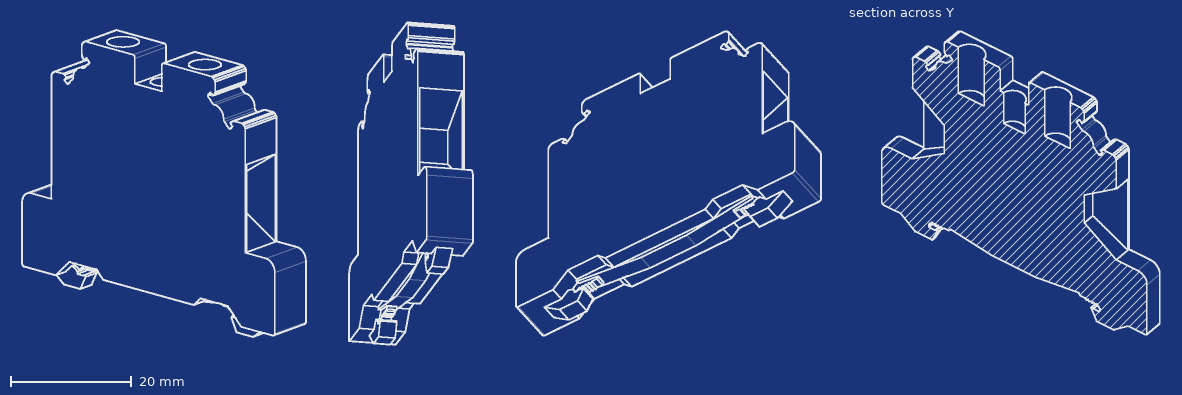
import cadquery as cq
import math


half_length = 27.75
width = 7.9
height = 42.3
base_height = 13.15
base_top_radius = 2.0
base_bottom_radius = 0.5
wall_x = 21.3
shoulder_z = 35.6
tower_x = 14.65
slot_half_width = 2.95
slot_floor_z = 37.3
slot_corner_radius = 0.5
corner_size = 0.8
corner_facet_near = 0.2 * corner_size
corner_facet_far = 0.6 * corner_size

flank_x = 15.4
flank_z = 36.35
bead_radius = 2.0
bead_sink = 1.2
bead_blend = 0.55
groove_end = 3.45
groove_chamfer = 0.1
groove_depth = 0.95
lip_start = 2.7
lip_length = 0.8
lip_facet_length = 0.35
lip_facet_drop = 0.1

rail_z = 1.5
recess_z = 2 * rail_z
recess_inner_x = 11.45
recess_outer_x = 17.35

screw_x = 9.0
screw_diameter = 5.4
screw_depth = 10.0
center_diameter = 4.5
center_depth = 6.65
pocket_margin = 0.35
pocket_taper = 0.85
pocket_depth = 6.65
pocket_top_z = 28.45
pocket_floor_z = (17.75, 23.7)

foot_width = 2.85
foot_z = -2.35
bar_end_z = 2.5
bar_middle_z = 0.65
bar_middle_x = 4.55
metal_overlap = 0.55
metal_top_z = recess_z + metal_overlap

hook_heel_x = 23.75
hook_bottom_x = (20.75, 17.15)
hook_tip_x = 16.0
hook_tip_z = 0.05
hook_barb_x = (16.2, 16.55)
hook_barb_z = 0.35
hook_floor_z = 0.15
hook_throat_x = 17.8
hook_throat_z = 0.55
hook_back_x = 19.1
hook_top_z = 1.3
hook_throat_radius = 1.5

clamp_width = 1.65
clamp_inner_x = 13.45
clamp_corner_z = 1.85
clamp_flat_x = 13.7
clamp_heel_x = 17.85
clamp_outer_x = 20.0
clamp_heel_z = 0.65
tooth_pitch = 0.6
tooth_count = 4
tooth_tip_z = 1.1
tooth_root_z = 1.45
first_tooth_x = 14.7

tab_length = 1.0
tab_x = (-16.9, -16.5)
tab_z = (34.95, 35.7)


def flank_point(along, out):
    """Point at a distance along the 45 degree flank (downward) and out from it."""
    return (
        flank_x + (out + along) / math.sqrt(2),
        flank_z + (out - along) / math.sqrt(2),
    )


def extrude_profile(outline, front_y, thickness):
    return outline.close().extrude(-thickness).translate((0, front_y, 0))


def corner_points(x, z):
    """Three-facet corner, from the vertical side up to the flat top."""
    return [
        (x, z - corner_size),
        (x - corner_facet_near, z - corner_facet_far),
        (x - corner_facet_far, z - corner_facet_near),
        (x - corner_size, z),
    ]


def add_bead(outline):
    """Follow the round bead up the flank, blended into the flank at both ends."""
    reach = bead_radius + bead_blend
    rise = bead_sink + bead_blend
    blend_along = math.sqrt(reach**2 - rise**2)
    touch_along = blend_along * bead_radius / reach
    touch_out = rise * bead_radius / reach - bead_sink
    half_angle = math.atan2(blend_along, rise) / 2
    mid_along = blend_along - bead_blend * math.sin(half_angle)
    mid_out = bead_blend * (1 - math.cos(half_angle))
    return (
        outline.lineTo(*flank_point(blend_along, 0))
        .threePointArc(flank_point(mid_along, mid_out), flank_point(touch_along, touch_out))
        .threePointArc(flank_point(0, bead_radius - bead_sink), flank_point(-touch_along, touch_out))
        .threePointArc(flank_point(-mid_along, mid_out), flank_point(-blend_along, 0))
    )


def groove_points(side):
    """Snap groove from its lip inward; side is 1 for the lower end and -1 for the upper."""
    return [
        flank_point(side * lip_start, groove_depth),
        flank_point(side * groove_end, groove_depth),
        flank_point(side * groove_end, groove_chamfer),
        flank_point(side * (groove_end - groove_chamfer), 0),
    ]


def housing_outline():
    """Right half of the housing outline, from the rail recess round to the top slot."""
    shoulder_end_x = groove_points(1)[0][0] + lip_length
    tower_end_z = groove_points(-1)[0][1] + lip_length
    outline = cq.Workplane("XZ").polyline([
        (0, rail_z),
        (recess_inner_x - (recess_z - rail_z), rail_z),
        (recess_inner_x, recess_z),
        (recess_outer_x, recess_z),
        (recess_outer_x + recess_z, 0),
        (half_length - base_bottom_radius, 0),
    ])
    outline = (
        outline.radiusArc((half_length, base_bottom_radius), -base_bottom_radius)
        .lineTo(half_length, base_height - base_top_radius)
        .radiusArc((half_length - base_top_radius, base_height), -base_top_radius)
        .lineTo(wall_x, base_height)
    )
    for point in corner_points(wall_x, shoulder_z):
        outline = outline.lineTo(*point)
    outline = outline.lineTo(shoulder_end_x, shoulder_z)
    outline = outline.lineTo(shoulder_end_x - lip_facet_length, shoulder_z - lip_facet_drop)
    for point in groove_points(1):
        outline = outline.lineTo(*point)
    outline = add_bead(outline)
    for point in reversed(groove_points(-1)):
        outline = outline.lineTo(*point)
    outline = outline.lineTo(tower_x - lip_facet_drop, tower_end_z - lip_facet_length)
    outline = outline.lineTo(tower_x, tower_end_z)
    for point in corner_points(tower_x, height):
        outline = outline.lineTo(*point)
    return (
        outline.lineTo(slot_half_width + slot_corner_radius, height)
        .radiusArc((slot_half_width, height - slot_corner_radius), -slot_corner_radius)
        .lineTo(slot_half_width, slot_floor_z)
        .lineTo(0, slot_floor_z)
    )


def make_hole(x, top_z, diameter, depth):
    return cq.Workplane("XY", origin=(x, width / 2, top_z)).circle(diameter / 2).extrude(-depth)


def make_wire_pocket():
    """Funnel-shaped wire entry in the right-hand wall."""
    mouth_z = (base_height + pocket_top_z) / 2
    floor_z = sum(pocket_floor_z) / 2
    mouth_width = width - 2 * pocket_margin
    return (
        cq.Workplane("YZ", origin=(wall_x, width / 2, 0))
        .center(0, mouth_z)
        .rect(mouth_width, pocket_top_z - base_height)
        .workplane(offset=-pocket_depth)
        .center(0, floor_z - mouth_z)
        .rect(mouth_width - 2 * pocket_taper, pocket_floor_z[1] - pocket_floor_z[0])
        .loft(ruled=True)
    )


def make_bar():
    """Shallow bowed bar filling the rail recess."""
    outline = cq.Workplane("XZ").polyline([
        (0, bar_middle_z),
        (bar_middle_x, bar_middle_z),
        (recess_outer_x, bar_end_z),
        (recess_outer_x, metal_top_z),
        (0, metal_top_z),
    ])
    return extrude_profile(outline, (width - foot_width) / 2, foot_width)


def make_hook():
    """Wedge-shaped hook that grips under the rail."""
    outline = (
        cq.Workplane("XZ")
        .moveTo(hook_heel_x, 0)
        .lineTo(hook_bottom_x[0], foot_z)
        .lineTo(hook_bottom_x[1], foot_z)
        .lineTo(hook_tip_x, hook_tip_z)
        .lineTo(hook_barb_x[0], hook_barb_z)
        .lineTo(hook_barb_x[1], hook_floor_z)
        .lineTo(hook_throat_x, hook_floor_z)
        .lineTo(hook_throat_x, hook_throat_z)
        .radiusArc((hook_back_x, hook_top_z), hook_throat_radius)
        .lineTo(hook_heel_x, hook_top_z)
    )
    return extrude_profile(outline, (width - foot_width) / 2, foot_width)


def make_clamp():
    """Thin toothed clamp above the hook."""
    outline = (
        cq.Workplane("XZ")
        .moveTo(clamp_inner_x, metal_top_z)
        .lineTo(clamp_inner_x, clamp_corner_z)
        .lineTo(clamp_flat_x, tooth_root_z)
        .lineTo(first_tooth_x, tooth_root_z)
    )
    for index in range(tooth_count):
        root_x = first_tooth_x + index * tooth_pitch
        outline = outline.lineTo(root_x + tooth_pitch / 2, tooth_tip_z)
        outline = outline.lineTo(root_x + tooth_pitch, tooth_root_z)
    outline = (
        outline.lineTo(clamp_heel_x, clamp_heel_z)
        .lineTo(clamp_outer_x, clamp_heel_z)
        .lineTo(clamp_outer_x, metal_top_z)
    )
    return extrude_profile(outline, (width - clamp_width) / 2, clamp_width)


def make_tab():
    """Small tab behind the rear face, following the housing outline."""
    block = cq.Workplane("XY").box(
        tab_x[1] - tab_x[0], width + tab_length, tab_z[1] - tab_z[0], centered=False
    ).translate((tab_x[0], 0, tab_z[0]))
    long_half = extrude_profile(housing_outline(), 0, width + tab_length).mirror("YZ")
    return block.intersect(long_half)


half = extrude_profile(housing_outline(), 0, width)
half = half.cut(make_wire_pocket())
for piece in (make_bar(), make_hook(), make_clamp()):
    half = half.union(piece)
result = half.union(half.mirror("YZ"))
for x in (-screw_x, screw_x):
    result = result.cut(make_hole(x, height, screw_diameter, screw_depth))
result = result.cut(make_hole(0, slot_floor_z, center_diameter, center_depth))
result = result.union(make_tab())